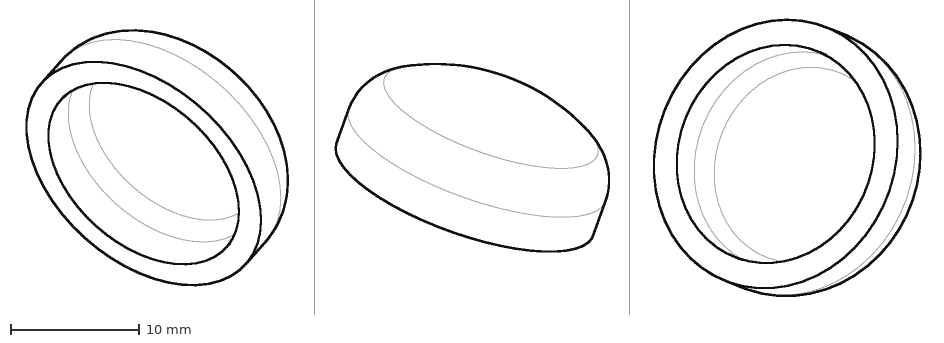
import cadquery as cq
import math

outer_radius = 10.65
height = 9.0
skirt_height = 3.02
shoulder_radius = 4.0
wall = 2.0

shoulder_center_x = outer_radius - shoulder_radius
rise = height - skirt_height
crown_radius = (shoulder_center_x**2 + rise**2 - shoulder_radius**2) / (2 * (rise - shoulder_radius))
crown_center_y = height - crown_radius
tangent_angle = math.atan2(shoulder_center_x, skirt_height - crown_center_y)


def dome(inset):
    """Solid dome about the Y axis, offset inwards by inset from the outer skin."""
    crown = crown_radius - inset
    shoulder = shoulder_radius - inset

    def crown_point(angle):
        return (crown * math.sin(angle), crown_center_y + crown * math.cos(angle))

    def shoulder_point(angle):
        return (
            shoulder_center_x + shoulder * math.sin(angle),
            skirt_height + shoulder * math.cos(angle),
        )

    skirt_radius = outer_radius - inset
    shoulder_middle_angle = (tangent_angle + math.pi / 2) / 2
    profile = (
        cq.Workplane("XY")
        .lineTo(skirt_radius, 0)
        .lineTo(skirt_radius, skirt_height)
        .threePointArc(shoulder_point(shoulder_middle_angle), crown_point(tangent_angle))
        .threePointArc(crown_point(tangent_angle / 2), crown_point(0))
        .close()
    )
    return profile.revolve(360, (0, 0, 0), (0, 1, 0))


result = dome(0).cut(dome(wall))